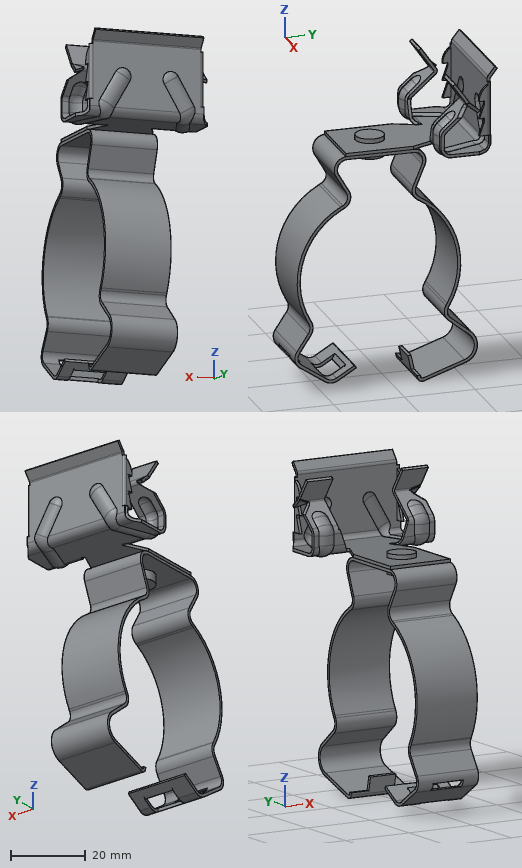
import cadquery as cq
import math


clip_thickness = 0.9
strap_thickness = 0.9
strap_width = 19.0
clip_half_width = 19.06

rivet_diameter = 8.0
rivet_top = 2.15
rivet_bottom = -3.65

pipe_radius = 22.7
pipe_y = -0.4
rear_pipe_z = -33.9
front_pipe_z = -34.7
pipe_exit_angle = -30.0
rear_entry_angle = 60.0
front_entry_angle = 62.0
hook_half_width = 4.0
hook_shoulder_z = -64.8
leg_window_half_width = 4.72
leg_window_top = -56.8
leg_window_bottom = -58.9
leg_window_y = (-25.0, -20.0)
lip_window_edge = (-8.7, -60.75)
lip_window_end_y = -15.4
lip_window_x = (-3.5, 5.95)
lip_window_depth = 4.0
lip_window_lean = math.radians(62.0)

wall_y = 28.58
arm_y = 14.55
arm_bend_z = 7.0
fold_y = 22.5
fold_z = 13.95
tab_end = (17.8, 20.65)
lip_bend_z = 20.5
lip_end = (30.73, 23.2)
lip_half_width = 15.66

lip_bend = 1.0
wall_bend = 1.95
arm_bend = 2.35
knee_bend = 2.2
tab_bend = 0.75

base_corner_y = 25.0
base_corner_middle = (17.8, 26.9)
base_corner_end_y = 28.7

neck_front_y = -9.75
neck_taper_y = 9.3
neck_tip_half_width = 6.45
slot_end_y = 16.3
slot_radius = 0.62
arm_gap = 1.4
arm_inner_x = 11.0
arm_taper_top = 7.6
arm_taper_mid = (8.9, 1.85)

flange_half_width = 16.5
flange_bend = 0.8
flange_bottom = 4.37
flange_top = 19.5
tooth_pitch = 4.93
tooth_tip_y = 25.75
tooth_root_y = 27.2
tooth_back = 4.1
tooth_count = 3
tooth_crown_z = 18.6
tooth_crown_bulge = (26.7, 17.3)

corner_fold_base = (15.8, 22.5, 13.8)
corner_fold_edge = (clip_half_width, 21.65, 15.0)
corner_tip = (clip_half_width, 24.75, 12.35)
arm_chamfer_z = 11.1
arm_chamfer_top = (16.5, 13.0)

rib_radius = 3.67
rib_depth = 0.85
rib_base_lift = 0.4
rib_wall_end = (7.0, 11.1)
rib_corner_x = 11.6
rib_arm_x = 15.06
rib_arm_end_rise = 2.0

reach = 60.0


def unit(a, b):
    length = math.dist(a, b)
    return ((b[0] - a[0]) / length, (b[1] - a[1]) / length)


def offset_points(points, distance):
    """Shift a (Y, Z) polyline sideways to its left, keeping mitred corners."""
    shifted = []
    for i, point in enumerate(points):
        before = unit(points[max(i - 1, 0)], points[max(i, 1)])
        last = len(points) - 1
        after = unit(points[min(i, last - 1)], points[min(i + 1, last)])
        stretch = distance / (1 + before[0] * after[0] + before[1] * after[1])
        normal = (-before[1] - after[1], before[0] + after[0])
        shifted.append((point[0] + normal[0] * stretch, point[1] + normal[1] * stretch))
    return shifted


def rounded_stops(points, radii):
    """Turn a polyline with a radius at each inner corner into (tangent, middle, tangent) stops."""
    stops = []
    for a, corner, b, radius in zip(points, points[1:], points[2:], radii):
        back = unit(corner, a)
        ahead = unit(corner, b)
        half_angle = math.acos(back[0] * ahead[0] + back[1] * ahead[1]) / 2
        setback = radius / math.tan(half_angle)
        inset = radius / math.sin(half_angle) - radius
        bisector = unit((0, 0), (back[0] + ahead[0], back[1] + ahead[1]))
        stops.append((
            (corner[0] + back[0] * setback, corner[1] + back[1] * setback),
            (corner[0] + bisector[0] * inset, corner[1] + bisector[1] * inset),
            (corner[0] + ahead[0] * setback, corner[1] + ahead[1] * setback),
        ))
    return stops


def turns_left(a, corner, b):
    first = unit(a, corner)
    second = unit(corner, b)
    return first[0] * second[1] - first[1] * second[0] > 0


def bent_strip(points, radii, thickness, half_width):
    """Sheet of constant thickness along a (Y, Z) centreline with a bend radius at each corner."""
    sides = []
    for distance in (thickness / 2, -thickness / 2):
        side_radii = []
        for a, corner, b, radius in zip(points, points[1:], points[2:], radii):
            side_radii.append(radius - distance if turns_left(a, corner, b) else radius + distance)
        side = offset_points(points, distance)
        sides.append((side, rounded_stops(side, side_radii)))
    (left, left_stops), (right, right_stops) = sides
    sketch = cq.Workplane("YZ").moveTo(*left[0])
    for start, middle, end in left_stops:
        sketch = sketch.lineTo(*start).threePointArc(middle, end)
    sketch = sketch.lineTo(*left[-1]).lineTo(*right[-1])
    for start, middle, end in reversed(right_stops):
        sketch = sketch.lineTo(*end).threePointArc(middle, start)
    sketch = sketch.lineTo(*right[0]).close()
    return sketch.extrude(half_width, both=True)


def box(x_range, y_range, z_range):
    sizes = [high - low for low, high in (x_range, y_range, z_range)]
    return cq.Workplane("XY").box(*sizes, centered=False).translate((x_range[0], y_range[0], z_range[0]))


def both_sides(solid):
    """The solid together with its mirror image across the middle plane X = 0."""
    return solid.union(solid.mirror("YZ"))


def make_rivet():
    height = rivet_top - rivet_bottom
    return cq.Workplane("XY").workplane(offset=rivet_bottom).circle(rivet_diameter / 2).extrude(height)


def pipe_corner(side, center_z, entry_angle):
    """Meeting point of the tangents at both ends of the pipe arc."""
    middle = math.radians((entry_angle + pipe_exit_angle) / 2)
    half_sweep = math.radians((entry_angle - pipe_exit_angle) / 2)
    distance = pipe_radius / math.cos(half_sweep)
    return (pipe_y + side * distance * math.cos(middle), center_z + distance * math.sin(middle))


def strap_profile():
    """Centreline corners and bend radii, from the rear hook round to the front lip."""
    top_z = -strap_thickness / 2
    corners = [
        ((11.2, -66.4), 0.9),
        ((31.8, -59.4), 4.56),
        ((17.63, -48.07), 3.0),
        (pipe_corner(1, rear_pipe_z, rear_entry_angle), pipe_radius),
        ((8.73, -12.96), 2.7),
        ((13.92, top_z), 3.0),
        ((-14.95, top_z), 3.15),
        ((-7.65, -12.85), 3.0),
        (pipe_corner(-1, front_pipe_z, front_entry_angle), pipe_radius),
        ((-18.91, -48.05), 3.3),
        ((-24.88, -57.01), 2.9),
        ((-13.84, -64.36), 3.0),
    ]
    points = [(9.97, -60.8)] + [point for point, radius in corners] + [(-7.05, -60.28)]
    return points, [radius for point, radius in corners]


def lip_window():
    """Opening through the lip and its bend that takes the hook, its inner end leaning back under the lip."""
    edge_y, edge_z = lip_window_edge
    rise = lip_window_depth
    shift = rise / math.tan(lip_window_lean)
    outline = [(edge_y + shift, edge_z + rise), (edge_y - shift, edge_z - rise),
               (lip_window_end_y, edge_z - rise), (lip_window_end_y, edge_z + rise)]
    start_x, end_x = lip_window_x
    opening = cq.Workplane("YZ").workplane(offset=start_x).polyline(outline).close()
    return opening.extrude(end_x - start_x)


def make_strap():
    points, radii = strap_profile()
    strap = bent_strip(points, radii, strap_thickness, strap_width / 2)
    hook_end_y, hook_end_z = points[0]
    hook_corner_y = points[1][0]
    beside_hook = box((hook_half_width, strap_width),
                      (hook_end_y - strap_thickness, hook_corner_y + strap_thickness),
                      (hook_shoulder_z, hook_end_z + strap_thickness))
    strap = strap.cut(both_sides(beside_hook))
    window_x = (-leg_window_half_width, leg_window_half_width)
    leg_window = box(window_x, leg_window_y, (leg_window_bottom, leg_window_top))
    return strap.cut(leg_window).cut(lip_window()).cut(make_rivet())


base_z = clip_thickness / 2
clip_points = [
    lip_end, (wall_y, lip_bend_z), (wall_y, base_z), (arm_y, base_z),
    (arm_y, arm_bend_z), (fold_y, fold_z), tab_end,
]
clip_radii = [lip_bend, wall_bend, arm_bend, knee_bend, tab_bend]
wall_inner_y = wall_y - clip_thickness / 2
wall_outer_y = wall_y + clip_thickness / 2


def front_cut(points, y_range):
    """Prism along Y over a closed (X, Z) outline, kept on both sides of X = 0."""
    prism = cq.Workplane("XZ").workplane(offset=-y_range[1]).polyline(points).close()
    return both_sides(prism.extrude(y_range[1] - y_range[0]))


def plan_trim():
    """Removes the base corners that narrow towards the wall."""
    outline = (
        cq.Workplane("XY").moveTo(clip_half_width, base_corner_y)
        .threePointArc(base_corner_middle, (flange_half_width, base_corner_end_y))
        .lineTo(flange_half_width, reach).lineTo(reach, reach).lineTo(reach, base_corner_y).close()
    )
    return both_sides(outline.extrude(reach).translate((0, 0, -reach / 2)))


def jaw_sheet():
    sheet = bent_strip(clip_points, clip_radii, clip_thickness, clip_half_width)
    sheet = sheet.cut(plan_trim())
    upper_wall = box((lip_half_width, reach), (wall_inner_y, reach), (flange_bottom, reach))
    sheet = sheet.cut(both_sides(upper_wall))
    between_arms = front_cut(
        [(0, reach), (arm_inner_x, reach), (arm_inner_x, arm_taper_top), arm_taper_mid,
         (neck_tip_half_width + arm_gap, base_z),
         (neck_tip_half_width + arm_gap, -clip_thickness), (0, -clip_thickness)],
        (0, slot_end_y))
    tab_gap = front_cut([(0, reach), (arm_inner_x, reach), (arm_inner_x, arm_bend_z), (0, arm_bend_z)],
                        (0, fold_y + clip_thickness))
    neck_gap = box((-neck_tip_half_width, neck_tip_half_width),
                   (0, arm_y + arm_bend),
                   (-clip_thickness, reach))
    return sheet.cut(between_arms).cut(tab_gap).cut(neck_gap)


def neck_plate():
    half = strap_width / 2
    outline = [(half, neck_front_y), (half, neck_taper_y), (neck_tip_half_width, slot_end_y),
               (neck_tip_half_width, arm_y + arm_bend)]
    mirrored = [(-x, y) for x, y in reversed(outline)]
    return cq.Workplane("XY").polyline(outline + mirrored).close().extrude(clip_thickness)


def slot_ends():
    center_x = neck_tip_half_width + slot_radius
    centers = [(center_x, slot_end_y), (-center_x, slot_end_y)]
    return cq.Workplane("XY").pushPoints(centers).circle(slot_radius).extrude(2 * clip_thickness)


def toothed_flange():
    """Side flange of the wall with teeth pointing into the jaw."""
    outline = cq.Workplane("YZ").moveTo(wall_outer_y, flange_bottom)
    for i in range(tooth_count):
        tip_z = flange_bottom + i * tooth_pitch
        outline = outline.lineTo(tooth_root_y, tip_z).lineTo(tooth_tip_y, tip_z)
        if i < tooth_count - 1:
            outline = outline.lineTo(tooth_root_y, tip_z + tooth_back)
    outline = outline.threePointArc(tooth_crown_bulge, (wall_inner_y, tooth_crown_z))
    outline = outline.lineTo(wall_inner_y, flange_top).lineTo(wall_outer_y, flange_top).close()
    flange = outline.extrude(flange_half_width - lip_half_width).translate((lip_half_width, 0, 0))
    return flange.edges("|Z and >X and >Y").fillet(flange_bend)


def grip_corner():
    """Triangular corner of a tab, bent down from it to bite into the beam."""
    a, b, c = (cq.Vector(*p) for p in (corner_fold_base, corner_fold_edge, corner_tip))
    normal = (b - a).cross(c - a).normalized()
    plane = cq.Plane(origin=a, xDir=(b - a), normal=normal)
    local = [plane.toLocalCoords(p) for p in (a, b, c)]
    triangle = cq.Workplane(plane).polyline([(p.x, p.y) for p in local]).close()
    corner = triangle.extrude(clip_thickness / 2, both=True)
    return corner.intersect(box((0, clip_half_width), (0, reach), (0, reach)))


def rib_path():
    """Points of the rib axis from the wall, across the base and up the arm."""
    inset = rib_radius - rib_depth - clip_thickness / 2
    axis = offset_points(clip_points, -inset)
    wall_corner, arm_corner, arm_knee, fold = axis[2:6]
    direction = unit(arm_knee, fold)
    run = rib_arm_end_rise / direction[1]
    arm_end = (arm_knee[0] + direction[0] * run, arm_knee[1] + rib_arm_end_rise)
    low_z = wall_corner[1] + rib_base_lift
    return [
        (rib_wall_end[0], wall_corner[0], rib_wall_end[1]),
        (rib_corner_x, wall_corner[0], low_z),
        (rib_arm_x, arm_corner[0], low_z),
        (rib_arm_x, *arm_knee),
        (rib_arm_x, *arm_end),
    ]


def ball(radius, center):
    return cq.Workplane("XY").sphere(radius).translate(center)


def rib_tube(radius):
    """Round bar along the rib axis with ball-shaped corners and ends."""
    points = [cq.Vector(*p) for p in rib_path()]
    tube = ball(radius, points[0])
    for start, end in zip(points, points[1:]):
        axis = end - start
        tube = tube.union(cq.Workplane(obj=cq.Solid.makeCylinder(radius, axis.Length, start, axis)))
        tube = tube.union(ball(radius, end))
    return tube


def jaw_interior():
    inner = offset_points(clip_points, -clip_thickness / 2)[1:6]
    return cq.Workplane("YZ").polyline(inner).close().extrude(reach, both=True)


def make_clip():
    arm_corner_cut = front_cut(
        [(corner_fold_base[0], corner_fold_base[2]), (corner_fold_edge[0], corner_fold_edge[2]),
         (reach, corner_fold_edge[2]), (reach, arm_chamfer_z),
         (clip_half_width, arm_chamfer_z), arm_chamfer_top],
        (arm_y, fold_y + 2 * clip_thickness))
    clip = jaw_sheet().cut(arm_corner_cut)
    clip = clip.union(neck_plate()).cut(both_sides(slot_ends()))
    clip = clip.union(both_sides(toothed_flange())).union(both_sides(grip_corner()))
    ribs = both_sides(rib_tube(rib_radius).cut(jaw_interior()))
    grooves = both_sides(rib_tube(rib_radius - clip_thickness))
    return clip.union(ribs).cut(grooves).cut(make_rivet())


rivet = make_rivet()
strap = make_strap()
clip = make_clip()

result = cq.Compound.makeCompound([clip.val(), strap.val(), rivet.val()])